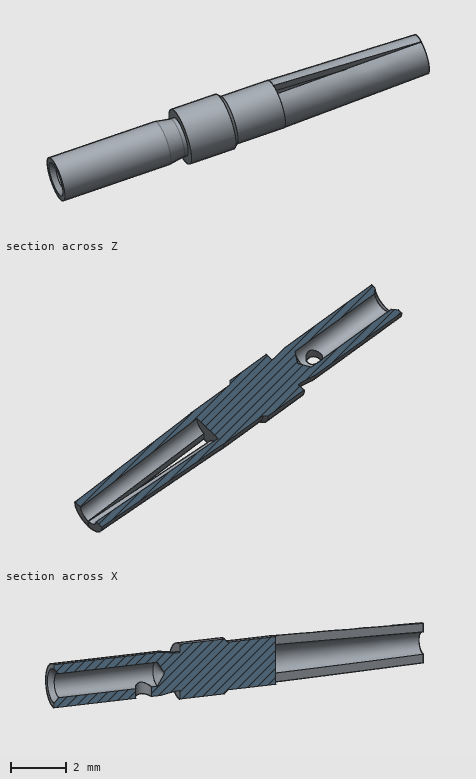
import cadquery as cq
import math

length = 14.4
y_wire = -length / 2
y_tip = length / 2

barrel_d = 1.65
neck_d = 1.47
collar_d = 2.1
body_d = 1.83
finger_base_d = 1.81
finger_tip_d = 1.5

barrel_len = 4.18
neck_cone_len = 0.58
neck_len = 0.15
collar_len = 1.89
collar_chamfer = (collar_d - body_d) / 2
finger_len = 5.75

wire_bore_d = 0.9
wire_mouth_d = 1.28
wire_mouth_depth = 0.19
wire_bore_depth = 4.03
drill_angle = 118.0

inspection_d = 0.6
inspection_from_end = 3.5

socket_d = 1.15
socket_tip_d = socket_d - (finger_base_d - finger_tip_d)

slot_base_width = 0.39
slot_tip_width = 0.01

y_barrel = y_wire + barrel_len
y_neck = y_barrel + neck_cone_len
y_collar = y_neck + neck_len
y_body = y_collar + collar_len
y_fingers = y_tip - finger_len


def revolve_profile(stations):
    """Solid of revolution about Y; stations are (diameter, y) in order along the axis."""
    outline = [(0, stations[0][1])]
    outline += [(diameter / 2, y) for diameter, y in stations]
    if stations[-1][0] > 0:
        outline.append((0, stations[-1][1]))
    return cq.Workplane("XY").polyline(outline).close().revolve(360, (0, 0, 0), (0, 1, 0))


def outer_body():
    return revolve_profile([
        (barrel_d, y_wire),
        (barrel_d, y_barrel),
        (neck_d, y_neck),
        (neck_d, y_collar),
        (collar_d, y_collar),
        (collar_d, y_body - collar_chamfer),
        (body_d, y_body),
        (body_d, y_fingers),
        (finger_base_d, y_fingers),
        (finger_tip_d, y_tip),
    ])


def wire_bore():
    bore_end = y_wire + wire_bore_depth
    point_len = wire_bore_d / 2 / math.tan(math.radians(drill_angle / 2))
    return revolve_profile([
        (wire_mouth_d, y_wire),
        (wire_bore_d, y_wire + wire_mouth_depth),
        (wire_bore_d, bore_end),
        (0, bore_end + point_len),
    ])


def inspection_hole():
    hole = cq.Workplane("XY").center(0, y_wire + inspection_from_end).circle(inspection_d / 2)
    return hole.extrude(-barrel_d / 2)


def socket_bore():
    return revolve_profile([(socket_d, y_fingers), (socket_tip_d, y_tip)])


def finger_slot():
    half_base = slot_base_width / 2
    half_tip = slot_tip_width / 2
    outline = [(-half_base, y_fingers), (half_base, y_fingers), (half_tip, y_tip), (-half_tip, y_tip)]
    return cq.Workplane("XY").polyline(outline).close().extrude(body_d, both=True)


result = (
    outer_body()
    .cut(wire_bore())
    .cut(inspection_hole())
    .cut(socket_bore())
    .cut(finger_slot())
)